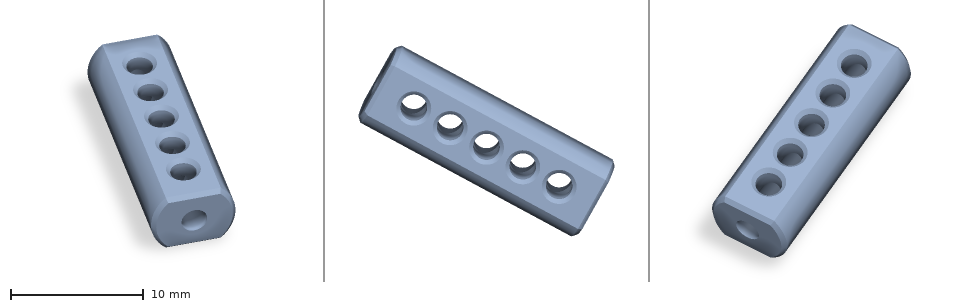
import cadquery as cq

length = 18.75
round_diameter = 6.6
height = 5.0

end_chamfer = 0.32

hole_diameter = 2.0
countersink_diameter = 2.62
countersink_angle = 90.0
cross_hole_count = 5
cross_hole_pitch = length / (cross_hole_count + 1)


def make_body():
    """Round bar along X with flats on top and bottom and chamfered ends."""
    bar = cq.Workplane("YZ").circle(round_diameter / 2).extrude(length / 2, both=True)
    flats = cq.Workplane("XY").box(length, round_diameter, height)
    return bar.intersect(flats).faces("<X or >X").chamfer(end_chamfer)


def drill_lengthwise_bore(body):
    """Plain bore through the middle from end to end."""
    bore = cq.Workplane("YZ").circle(hole_diameter / 2).extrude(length / 2, both=True)
    return body.cut(bore)


def drill_cross_holes(body):
    """Row of vertical through holes, countersunk in both flats."""
    for flat in (">Z", "<Z"):
        body = (
            body.faces(flat)
            .workplane(origin=(0, 0, 0))
            .rarray(cross_hole_pitch, 0.19, cross_hole_count, 1)
            .cskHole(hole_diameter, countersink_diameter, countersink_angle)
        )
    return body


result = drill_cross_holes(drill_lengthwise_bore(make_body()))